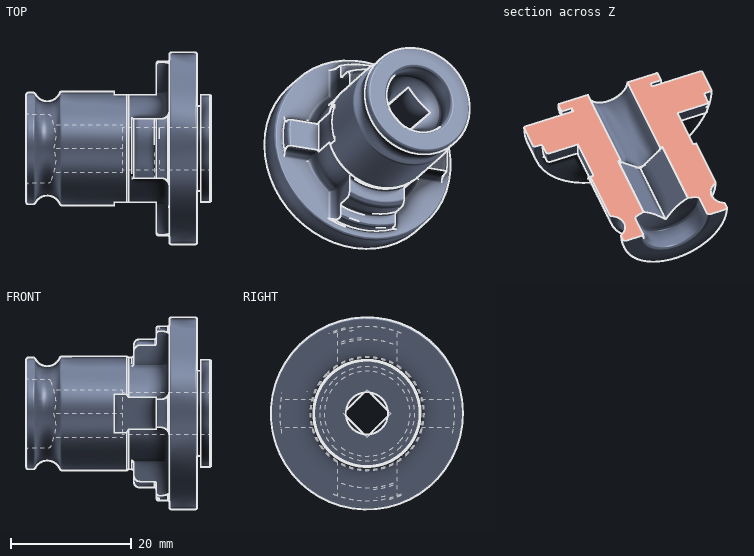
import cadquery as cq
import math

LENGTH = 30.8
BARREL_END = 16.75
FLAT_START = 14.72
TAB_FRONT = 17.92
TAB_STEP = 21.65
FLANGE_FRONT = 23.85
FLANGE_REAR = 28.48
DISC_FRONT = 29.05

LIP_RADIUS = 18.65 / 2
BARREL_RADIUS = 19.0 / 2
COLLAR_RADIUS = 18.65 / 2
FLANGE_RADIUS = 16.0
NECK_RADIUS = 14.2 / 2
DISC_RADIUS = 17.9 / 2
FLAT_OFFSET = 17.9 / 2
FLAT_OVERCUT = 0.32

GROOVE_CENTER = 3.55
GROOVE_ARC = 2.25
GROOVE_FLOOR_RADIUS = 7.87
GROOVE_EDGE_FILLET = 0.48

LIP_FILLET = 0.48
FLANGE_FILLET = 0.4
DISC_CHAMFER = 0.2
BARREL_CHAMFER_LENGTH = 0.35
ROOT_FILLET = 1.38

TAB_RADIUS = 14.53
TAB_EDGE_FILLET = 0.48
TAB_END_FILLET = 0.22
STEP_RADIUS = 12.35
STEP_EDGE_FILLET = 1.0
STEP_CORNER_FILLET = 0.32
STEPPED_TAB_WIDTH = 9.85
PLAIN_TAB_WIDTH = 4.67
TAB_JOINT_FILLET = 0.32
TAB_CORE_RADIUS = 7.68
TAB_OVERLAP = 0.32
TOLERANCE = 0.003

BORE_RADIUS = 11.4 / 2
BORE_DEPTH = 3.68
BORE_FILLET = 0.5
FLOOR_FILLET = 0.48
CONE_ANGLE = 17.0
SQUARE_SIDE = 5.57
SOCKET_END = 16.0
DRILL_RADIUS = 7.0 / 2

DIAGONAL = math.sqrt(0.5)


def revolve_about_x(profile):
    return profile.close().revolve(360, (0, 0, 0), (1, 0, 0))


def fillet_middle(center_x, center_r, radius, sign_x, sign_r):
    """Middle point of a quarter-round arc about the given center."""
    return (center_x + sign_x * radius * DIAGONAL, center_r + sign_r * radius * DIAGONAL)


def toward(start, end, distance):
    """Point at a distance from start on the line to end."""
    share = distance / math.dist(start, end)
    return tuple(a + (b - a) * share for a, b in zip(start, end))


def groove_edge(land_radius, side):
    """Arc points of the rounded groove edge: at the land, halfway, and at the groove."""
    hollow = (GROOVE_CENTER, GROOVE_FLOOR_RADIUS + GROOVE_ARC)
    center_r = land_radius - GROOVE_EDGE_FILLET
    reach = math.sqrt((GROOVE_ARC + GROOVE_EDGE_FILLET) ** 2 - (hollow[1] - center_r) ** 2)
    center = (GROOVE_CENTER + side * reach, center_r)
    land = (center[0], land_radius)
    tangent = toward(center, hollow, GROOVE_EDGE_FILLET)
    chord_middle = tuple((a + b) / 2 for a, b in zip(land, tangent))
    return land, toward(center, chord_middle, GROOVE_EDGE_FILLET), tangent


def turned_body():
    """Solid of revolution from the lip to the rear disc."""
    lip_land, lip_middle, lip_tangent = groove_edge(LIP_RADIUS, -1)
    barrel_land, barrel_middle, barrel_tangent = groove_edge(BARREL_RADIUS, 1)
    root_center_x = FLANGE_FRONT - ROOT_FILLET
    root_center_r = COLLAR_RADIUS + ROOT_FILLET
    flange_shoulder = FLANGE_RADIUS - FLANGE_FILLET
    profile = (
        cq.Workplane("XY")
        .moveTo(0, 0)
        .lineTo(0, LIP_RADIUS - LIP_FILLET)
        .threePointArc(
            fillet_middle(LIP_FILLET, LIP_RADIUS - LIP_FILLET, LIP_FILLET, -1, 1),
            (LIP_FILLET, LIP_RADIUS),
        )
        .lineTo(*lip_land)
        .threePointArc(lip_middle, lip_tangent)
        .threePointArc((GROOVE_CENTER, GROOVE_FLOOR_RADIUS), barrel_tangent)
        .threePointArc(barrel_middle, barrel_land)
        .lineTo(BARREL_END, BARREL_RADIUS)
        .lineTo(BARREL_END + BARREL_CHAMFER_LENGTH, COLLAR_RADIUS)
        .lineTo(root_center_x, COLLAR_RADIUS)
        .threePointArc(
            fillet_middle(root_center_x, root_center_r, ROOT_FILLET, 1, -1),
            (FLANGE_FRONT, root_center_r),
        )
        .lineTo(FLANGE_FRONT, flange_shoulder)
        .threePointArc(
            fillet_middle(FLANGE_FRONT + FLANGE_FILLET, flange_shoulder, FLANGE_FILLET, -1, 1),
            (FLANGE_FRONT + FLANGE_FILLET, FLANGE_RADIUS),
        )
        .lineTo(FLANGE_REAR - FLANGE_FILLET, FLANGE_RADIUS)
        .threePointArc(
            fillet_middle(FLANGE_REAR - FLANGE_FILLET, flange_shoulder, FLANGE_FILLET, 1, 1),
            (FLANGE_REAR, flange_shoulder),
        )
        .lineTo(FLANGE_REAR, NECK_RADIUS)
        .lineTo(DISC_FRONT, NECK_RADIUS)
        .lineTo(DISC_FRONT, DISC_RADIUS)
        .lineTo(LENGTH - DISC_CHAMFER, DISC_RADIUS)
        .lineTo(LENGTH, DISC_RADIUS - DISC_CHAMFER)
        .lineTo(LENGTH, 0)
    )
    return revolve_about_x(profile)


def tab_ring(stepped):
    """Ring with the radial section of the keys."""
    shoulder = TAB_RADIUS - TAB_EDGE_FILLET
    rear = FLANGE_FRONT + TAB_OVERLAP
    profile = cq.Workplane("XY").moveTo(rear, TAB_CORE_RADIUS)
    if stepped:
        profile = (
            profile.lineTo(TAB_FRONT, TAB_CORE_RADIUS)
            .lineTo(TAB_FRONT, STEP_RADIUS - STEP_EDGE_FILLET)
            .threePointArc(
                fillet_middle(
                    TAB_FRONT + STEP_EDGE_FILLET, STEP_RADIUS - STEP_EDGE_FILLET, STEP_EDGE_FILLET, -1, 1
                ),
                (TAB_FRONT + STEP_EDGE_FILLET, STEP_RADIUS),
            )
            .lineTo(TAB_STEP - STEP_CORNER_FILLET, STEP_RADIUS)
            .threePointArc(
                fillet_middle(
                    TAB_STEP - STEP_CORNER_FILLET,
                    STEP_RADIUS + STEP_CORNER_FILLET,
                    STEP_CORNER_FILLET,
                    1,
                    -1,
                ),
                (TAB_STEP, STEP_RADIUS + STEP_CORNER_FILLET),
            )
        )
    else:
        profile = profile.lineTo(TAB_STEP, TAB_CORE_RADIUS)
    profile = (
        profile.lineTo(TAB_STEP, shoulder)
        .threePointArc(
            fillet_middle(TAB_STEP + TAB_EDGE_FILLET, shoulder, TAB_EDGE_FILLET, -1, 1),
            (TAB_STEP + TAB_EDGE_FILLET, TAB_RADIUS),
        )
        .lineTo(FLANGE_FRONT - TAB_END_FILLET, TAB_RADIUS)
        .threePointArc(
            fillet_middle(
                FLANGE_FRONT - TAB_END_FILLET, TAB_RADIUS + TAB_END_FILLET, TAB_END_FILLET, 1, -1
            ),
            (FLANGE_FRONT, TAB_RADIUS + TAB_END_FILLET),
        )
        .lineTo(rear, TAB_RADIUS + TAB_END_FILLET)
    )
    return revolve_about_x(profile)


def tab_bar(width):
    """Bar across the whole flange, flared by the root fillets where it meets the flange face."""
    side = width / 2
    flare = side + ROOT_FILLET
    fillet_start = FLANGE_FRONT - ROOT_FILLET
    rear = FLANGE_FRONT + TAB_OVERLAP
    return (
        cq.Workplane("XY")
        .moveTo(TAB_FRONT, -side)
        .lineTo(fillet_start, -side)
        .threePointArc(
            fillet_middle(fillet_start, -flare, ROOT_FILLET, 1, 1), (FLANGE_FRONT, -flare)
        )
        .lineTo(rear, -flare)
        .lineTo(rear, flare)
        .lineTo(FLANGE_FRONT, flare)
        .threePointArc(
            fillet_middle(fillet_start, flare, ROOT_FILLET, 1, -1), (fillet_start, side)
        )
        .lineTo(TAB_FRONT, side)
        .close()
        .extrude(FLANGE_RADIUS, both=True)
    )


def stepped_tabs():
    """Keys at the +Z and -Z sides."""
    return tab_ring(True).intersect(tab_bar(STEPPED_TAB_WIDTH))


def plain_tabs():
    """Keys at the +Y and -Y sides."""
    bar = tab_bar(PLAIN_TAB_WIDTH).rotate((0, 0, 0), (1, 0, 0), 90)
    return tab_ring(False).intersect(bar)


def is_tab_joint(edge):
    """True for the straight and curved edges where a key meets the collar."""
    middle = edge.positionAt(0.5)
    on_collar = abs(math.hypot(middle.y, middle.z) - COLLAR_RADIUS) < TOLERANCE
    return on_collar and TAB_FRONT - TOLERANCE < middle.x < FLANGE_FRONT - ROOT_FILLET - TOLERANCE


def round_tab_joints(part):
    joints = [edge for edge in part.edges().vals() if is_tab_joint(edge)]
    return part.newObject(joints).fillet(TAB_JOINT_FILLET)


def side_flat(side):
    """Block that cuts the flat on the +Y or -Y side, up to the front of the plain key."""
    depth = BARREL_RADIUS - FLAT_OFFSET + FLAT_OVERCUT
    return cq.Workplane("XY").box(
        TAB_STEP - FLAT_START, depth, BARREL_RADIUS, centered=(False, True, True)
    ).translate((FLAT_START, side * (FLAT_OFFSET + depth / 2), 0))


def front_bore():
    """Rounded mouth, straight bore and a shallow conical floor with a rounded rim."""
    angle = math.radians(CONE_ANGLE)
    middle_angle = (angle + math.pi / 2) / 2
    rim_center_r = BORE_RADIUS - FLOOR_FILLET
    rim_x = BORE_DEPTH + FLOOR_FILLET * math.cos(angle)
    rim_r = rim_center_r + FLOOR_FILLET * math.sin(angle)
    rim_middle = (
        BORE_DEPTH + FLOOR_FILLET * math.cos(middle_angle),
        rim_center_r + FLOOR_FILLET * math.sin(middle_angle),
    )
    profile = (
        cq.Workplane("XY")
        .moveTo(0, 0)
        .lineTo(0, BORE_RADIUS + BORE_FILLET)
        .threePointArc(
            fillet_middle(BORE_FILLET, BORE_RADIUS + BORE_FILLET, BORE_FILLET, -1, -1),
            (BORE_FILLET, BORE_RADIUS),
        )
        .lineTo(BORE_DEPTH, BORE_RADIUS)
        .threePointArc(rim_middle, (rim_x, rim_r))
        .lineTo(rim_x + rim_r * math.tan(angle), 0)
    )
    return revolve_about_x(profile)


def drive_socket():
    """Square socket with its corners toward +Y, -Y, +Z and -Z."""
    return (
        cq.Workplane("YZ")
        .rect(SQUARE_SIDE, SQUARE_SIDE)
        .extrude(SOCKET_END)
        .rotate((0, 0, 0), (1, 0, 0), 45)
    )


def rear_hole():
    """Round hole from the rear that continues the socket, trimming its corners."""
    return (
        cq.Workplane("YZ", origin=(SOCKET_END, 0, 0))
        .circle(DRILL_RADIUS)
        .extrude(LENGTH - SOCKET_END)
    )


body = turned_body().union(stepped_tabs()).union(plain_tabs())
body = round_tab_joints(body)
for side in (-1, 1):
    body = body.cut(side_flat(side))
result = body.cut(front_bore()).cut(drive_socket()).cut(rear_hole())